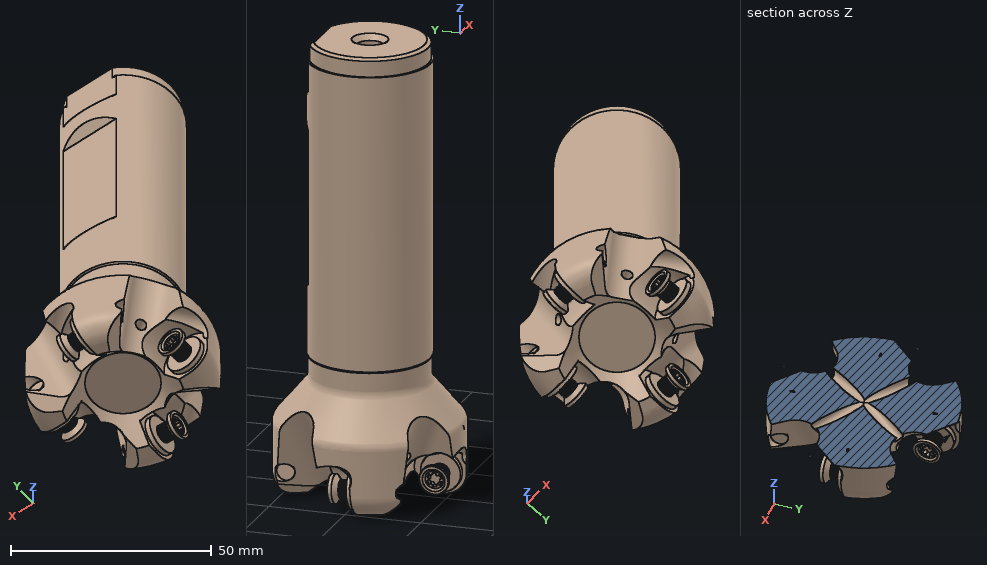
import cadquery as cq
import math

total_height = 118.9
cutter_count = 4
cutter_pitch = 360.0 / cutter_count

shank_radius = 15.9
end_radius = 15.3
end_length = 4.8
end_chamfer_height = 0.6
end_chamfer_width = 1.1
shank_bottom = 36.5
shank_bevel = 0.5
neck_radius = 15.6
neck_fillet_top = 31.1
cone_top = 29.2
cone_top_radius = 16.3

head_diameter = 49.1
head_radius = head_diameter / 2
shoulder_bottom = 18.3
shoulder_top = 20.2
cone_bottom_radius = 23.9
corner_radius = 6.0
dish_radius = 15.5
dish_top_radius = 9.5
dish_depth = 7.1

flat_offset = 13.5
flat_spans = [(55.4, 96.0), (106.3, total_height)]
flat_rise = shank_radius - flat_offset

bore_radius = 3.2
bore_mouth_radius = 4.6
bore_mouth_depth = 1.4
bore_bottom = 15.0
coolant_radius = 1.4
coolant_start = (0.0, 0.0, bore_bottom)
coolant_exit = (12.6, -8.7, 12.5)
coolant_overrun = 2.4

flute_radius = 6.2
flute_centre = (22.1, -14.6, 23.8)
flute_direction = (-0.37, 0.24, -1.0)
flute_length = 35.7
flute_overrun = 7.1
flute_reach = 19.0
flute_wall_lean = 40.0

screw_centre = (18.1, -3.9, 5.7)
screw_tilt = 4.5
head_rim_radius = 3.8
head_rim_height = 1.1
head_height = 2.4
sink_radius = 3.0
sink_floor_radius = 2.4
sink_depth = 0.5
socket_radius = 1.9
socket_lobe_radius = 0.5
socket_lobes = 6
socket_depth = 1.4
screw_shank_radius = 2.4
screw_length = 16.2
hole_overrun = 4.8
thread_pitch = 1.0
thread_depth = 0.4
thread_grooves = 3
thread_groove_width = thread_pitch / 2

pocket_radius = 7.4
pocket_depth = 6.9
pocket_front = 9.5
seat_radius = 5.2
seat_depth = 5.5
relief_radius = 3.5
relief_centre = (20.7, -6.0, 10.5)
relief_slant = 40.0
relief_front = 3.6
relief_length = 10.1
relief_end_fillet = 1.8

bevel_start = (4.8, -10.7, 0.0)
bevel_turn = 30.0
bevel_height = 4.3
bevel_run = 4.3
bevel_reach = 9.5


def screw_frame():
    """Workplane on the face of the screw head, with its normal along the screw axis."""
    tilt = math.radians(screw_tilt)
    axis = (0, math.cos(tilt), math.sin(tilt))
    return cq.Workplane(cq.Plane(origin=screw_centre, xDir=(1, 0, 0), normal=axis))


def around_tool(shape):
    """One copy of a shape for each cutter, turned about the tool axis."""
    return [shape.rotate((0, 0, 0), (0, 0, 1), i * cutter_pitch) for i in range(cutter_count)]


def tool_blank():
    """Turned blank: bottom corner, cylinder, shoulder, cone, neck and shank."""
    end_bottom = total_height - end_length
    profile = (
        cq.Workplane("XZ")
        .lineTo(head_radius - corner_radius, 0)
        .tangentArcPoint((head_radius, corner_radius), relative=False)
        .lineTo(head_radius, shoulder_bottom)
        .tangentArcPoint((cone_bottom_radius, shoulder_top), relative=False)
        .lineTo(cone_top_radius, cone_top)
        .tangentArcPoint((neck_radius, neck_fillet_top), relative=False)
        .lineTo(neck_radius, shank_bottom - shank_bevel)
        .lineTo(shank_radius, shank_bottom)
        .lineTo(shank_radius, end_bottom)
        .lineTo(end_radius, end_bottom)
        .lineTo(end_radius, total_height)
        .lineTo(0, total_height)
        .close()
    )
    return profile.revolve(360, (0, 0, 0), (0, 1, 0))


def clamping_flat(bottom, top):
    """Cutter for one flat; its ends rise at 45 degrees to the round of the shank."""
    return (
        cq.Workplane("YZ")
        .moveTo(flat_offset, bottom)
        .lineTo(flat_offset, top)
        .lineTo(flat_offset + flat_rise, top + flat_rise)
        .lineTo(flat_offset + flat_rise, bottom - flat_rise)
        .close()
        .extrude(shank_radius, both=True)
    )


def flute():
    """Cutter for a flute: rounded root, a seat wall and a leaning trailing wall."""
    frame = cq.Plane(origin=flute_centre, xDir=(1, 0, flute_direction[0]), normal=flute_direction)
    lean = math.radians(flute_wall_lean)
    reach_x = flute_reach * math.sin(lean)
    reach_y = flute_reach * math.cos(lean)
    root_x = -flute_radius * math.cos(lean)
    root_y = flute_radius * math.sin(lean)
    root_mid = -flute_radius * math.sin(math.radians(45))
    return (
        cq.Workplane(frame)
        .workplane(offset=-flute_overrun)
        .moveTo(0, -flute_radius)
        .threePointArc((root_mid, root_mid), (root_x, root_y))
        .lineTo(root_x + reach_x, root_y + reach_y)
        .lineTo(flute_reach, root_y + reach_y)
        .lineTo(flute_reach, -flute_radius)
        .close()
        .extrude(flute_length + flute_overrun)
    )


def coolant_bore():
    """Cutter for the central bore with its countersunk mouth."""
    bore_length = total_height - bore_bottom
    bore = cq.Workplane("XY").workplane(offset=bore_bottom).circle(bore_radius).extrude(bore_length)
    mouth = cq.Solid.makeCone(
        bore_radius,
        bore_mouth_radius,
        bore_mouth_depth,
        cq.Vector(0, 0, total_height - bore_mouth_depth),
    )
    return bore.union(mouth)


def coolant_branch():
    """Cutter for the passage from the bore to the root of the flute."""
    start = cq.Vector(*coolant_start)
    run = cq.Vector(*coolant_exit) - start
    return cq.Solid.makeCylinder(coolant_radius, run.Length + coolant_overrun, start, run)


def bottom_dish():
    """Cutter for the conical recess in the bottom."""
    return cq.Solid.makeCone(dish_radius, dish_top_radius, dish_depth)


def screw_pocket():
    """Cutter for the pocket around a raised round seat, its relief and the screw hole."""
    front = screw_frame().workplane(offset=-pocket_front)
    pocket = front.circle(pocket_radius).extrude(pocket_front + pocket_depth)
    seat = screw_frame().workplane(offset=seat_depth).circle(seat_radius).extrude(pocket_depth)
    hole = screw_frame().circle(screw_shank_radius).extrude(screw_length + hole_overrun)
    return pocket.cut(seat).union(relief()).union(hole)


def relief():
    """Cutter for the round hollow above the pocket; it slants outward toward the back."""
    slant = math.radians(relief_slant)
    axis = (math.sin(slant), math.cos(slant), 0)
    plane = cq.Plane(origin=relief_centre, xDir=(0, 0, 1), normal=axis)
    front = cq.Workplane(plane).workplane(offset=-relief_front)
    hollow = front.circle(relief_radius).extrude(relief_front + relief_length)
    end_point = plane.toWorldCoords((0, 0, relief_length)).toTuple()
    return hollow.edges(cq.NearestToPointSelector(end_point)).fillet(relief_end_fillet)


def trailing_bevel():
    """Cutter for the bevel at the bottom of a trailing wall."""
    turn = math.radians(bevel_turn)
    outward = (math.sin(turn), -math.cos(turn), 0)
    across = (math.cos(turn), math.sin(turn), 0)
    return (
        cq.Workplane(cq.Plane(origin=bevel_start, xDir=across, normal=outward))
        .lineTo(bevel_run, bevel_height)
        .lineTo(bevel_reach, bevel_height)
        .lineTo(bevel_reach, 0)
        .close()
        .extrude(head_radius)
    )


def cutter_body():
    """Holder: turned blank with flats, bore, flutes and screw pockets."""
    body = tool_blank()
    for bottom, top in flat_spans:
        body = body.cut(clamping_flat(bottom, top))
    body = body.faces(">Z").edges().chamfer(end_chamfer_height, end_chamfer_width)
    body = body.cut(coolant_bore()).cut(cq.Workplane(bottom_dish()))
    for cutter in (flute().val(), trailing_bevel().val(), coolant_branch(), screw_pocket().val()):
        for copy in around_tool(cutter):
            body = body.cut(cq.Workplane(copy))
    return body


def screw():
    """Screw with a countersunk head, a lobed socket and a grooved shank."""
    half_section = (
        cq.Workplane("XZ")
        .moveTo(0, sink_depth)
        .lineTo(sink_floor_radius, sink_depth)
        .lineTo(sink_radius, 0)
        .lineTo(head_rim_radius, 0)
        .lineTo(head_rim_radius, head_rim_height)
        .lineTo(screw_shank_radius, head_height)
        .lineTo(screw_shank_radius, screw_length)
        .lineTo(0, screw_length)
        .close()
    )
    body = half_section.revolve(360, (0, 0, 0), (0, 1, 0))
    socket_bottom = sink_depth + socket_depth
    socket = cq.Workplane("XY").circle(socket_radius).extrude(socket_bottom)
    lobes = (
        cq.Workplane("XY")
        .polarArray(socket_radius, 0, 360, socket_lobes)
        .circle(socket_lobe_radius)
        .extrude(socket_bottom)
    )
    body = body.cut(socket.cut(lobes))
    for i in range(thread_grooves):
        groove = (
            cq.Workplane("XY")
            .workplane(offset=head_height + i * thread_pitch + thread_groove_width / 2)
            .circle(screw_shank_radius)
            .circle(screw_shank_radius - thread_depth)
            .extrude(thread_groove_width)
        )
        body = body.cut(groove)
    return body.val().moved(cq.Location(screw_frame().plane))


holder = cutter_body()
screws = around_tool(screw())
result = cq.Compound.makeCompound([holder.val(), *screws])